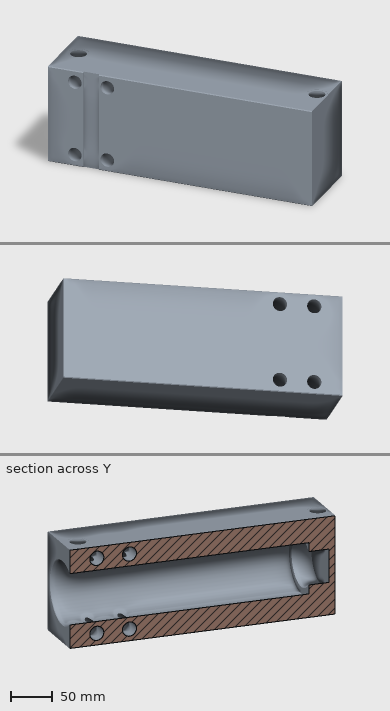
import cadquery as cq

length = 341.0
width = 95.0
height = 125.0
edge_chamfer = 1.0

bore_diameter = 80.0
bore_depth = 307.0
mouth_chamfer = 0.7
end_recess_diameter = 63.5
end_recess_end = 332.5

key_slot_start = 45.7
key_slot_width = 20.0
key_slot_depth = 2.0

mount_hole_diameter = 17.5
mount_pitch_x = 42.0
mount_pitch_z = 95.0
mount_center_x = key_slot_start + key_slot_width / 2

port_positions = (20.0, 328.0)
port_diameter = 20.0
port_depth = 19.0
seal_face_diameter = 26.5
seal_face_depth = 0.17
oil_passage_diameter = 5.5


def rod_along_x(diameter, start, end):
    """Cylinder on the bore axis between two X positions."""
    return cq.Workplane("YZ", origin=(start, 0, 0)).circle(diameter / 2).extrude(end - start)


def block():
    body = cq.Workplane("XY").box(length, width, height, centered=(False, True, True))
    return body.edges("|X").chamfer(edge_chamfer)


def bore():
    main_bore = rod_along_x(bore_diameter, 0, bore_depth)
    end_recess = rod_along_x(end_recess_diameter, 0, end_recess_end)
    return main_bore.union(end_recess)


def key_slot():
    return cq.Workplane("XY", origin=(mount_center_x, -width / 2, 0)).box(
        key_slot_width, 2 * key_slot_depth, height
    )


def mounting_holes():
    return (
        cq.Workplane("XZ", origin=(mount_center_x, 0, 0))
        .rarray(mount_pitch_x, mount_pitch_z, 2, 2)
        .circle(mount_hole_diameter / 2)
        .extrude(width, both=True)
    )


def oil_port(x):
    """Seal face, port and the passage that leads from it into the bore."""
    top = cq.Workplane("XY", origin=(x, 0, height / 2))
    seal_face = top.circle(seal_face_diameter / 2).extrude(-seal_face_depth)
    port = top.circle(port_diameter / 2).extrude(-port_depth)
    passage = top.circle(oil_passage_diameter / 2).extrude(-height / 2)
    return seal_face.union(port).union(passage)


bored_block = block().cut(bore())
bored_block = bored_block.faces("<X").edges("%CIRCLE").chamfer(mouth_chamfer)

result = bored_block.cut(key_slot()).cut(mounting_holes())
for port_x in port_positions:
    result = result.cut(oil_port(port_x))